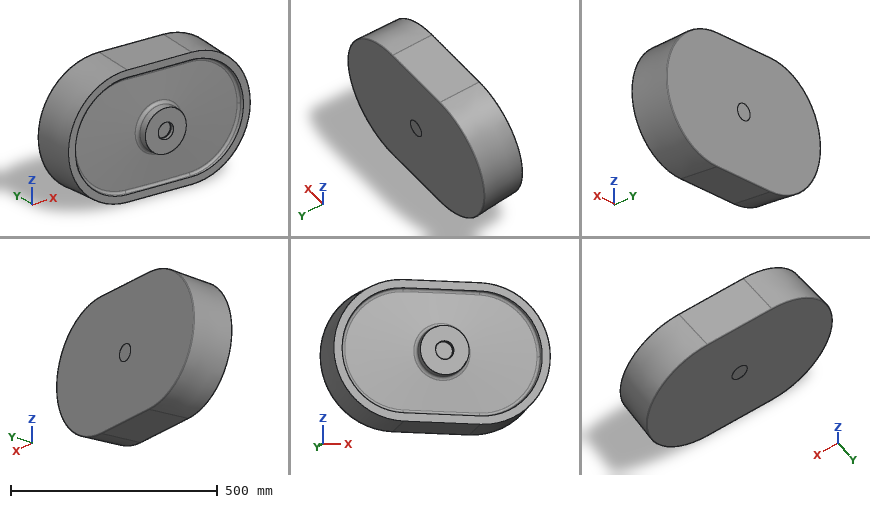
import cadquery as cq
import math

length = 550.0
height = 359.5
total_depth = 147.0
boss_length = 27.0
foot_inset = 6.0
rim_round = 1.5

foot_ring_width = 20.5
recess_draft = 18.0
recess_fillet = 7.0
floor_slope = 3.5
apex_recess_depth = -1.5

boss_tip_radius = 60.5
boss_draft = 3.0
boss_fillet = 9.0
bore_radius = 22.5

plug_setback = 10.5
dish_depth = 2.0
dish_rim_width = 0.5

straight_length = length - height
body_depth = total_depth - boss_length
foot_y = -body_depth
tip_y = -total_depth
body_taper = math.degrees(math.atan(foot_inset / body_depth))
recess_height = height - 2 * (foot_inset + foot_ring_width)


def plane_at(y):
    """XZ plane whose normal points toward -Y."""
    return cq.Workplane("XZ", origin=(0, y, 0))


def stadium(y, stadium_height):
    """Stadium outline whose end arcs keep their centres at every height."""
    return plane_at(y).slot2D(straight_length + stadium_height, stadium_height)


def make_recess():
    """Drafted stadium pocket whose bottom is a shallow cone rising to the boss."""
    cone_radius = length
    cone_rise = cone_radius * math.tan(math.radians(floor_slope))
    apex_y = foot_y + apex_recess_depth
    pocket_depth = body_depth / 2
    lead_in = boss_length / 4
    mouth_height = recess_height + 2 * lead_in * math.tan(math.radians(recess_draft))
    pocket = stadium(foot_y - lead_in, mouth_height).extrude(-pocket_depth, taper=recess_draft)
    below_floor = (
        cq.Workplane("XY")
        .moveTo(0, apex_y)
        .lineTo(cone_radius, apex_y + cone_rise)
        .lineTo(cone_radius, tip_y)
        .lineTo(0, tip_y)
        .close()
        .revolve(360, (0, 0, 0), (0, 1, 0))
    )
    recess = pocket.intersect(below_floor)
    return recess.faces(">Y").edges().fillet(recess_fillet)


def make_boss():
    """Drafted round boss, starting inside the body and ending at the -Y tip."""
    root_length = body_depth / 2
    return plane_at(tip_y).circle(boss_tip_radius).extrude(
        -(boss_length + root_length), taper=-boss_draft
    )


def make_basin():
    body = stadium(0, height).extrude(body_depth, taper=body_taper)
    body = body.faces(">Y").edges().fillet(rim_round)
    body = body.cut(make_recess()).union(make_boss())
    reach = boss_tip_radius + 2 * boss_fillet
    boss_root = cq.selectors.BoxSelector(
        (-reach, foot_y - boss_fillet, -reach),
        (reach, foot_y + boss_fillet, reach),
        boundingbox=True,
    )
    body = body.edges(boss_root).fillet(boss_fillet)
    bore = plane_at(0).circle(bore_radius).extrude(total_depth)
    return body.cut(bore)


def make_drain_plug():
    """Plug that fills the bore behind its setback from the boss tip."""
    plug_length = total_depth - plug_setback
    plug = plane_at(0).circle(bore_radius).extrude(plug_length)
    dish = plane_at(-plug_length).circle(bore_radius - dish_rim_width).extrude(-dish_depth)
    return plug.cut(dish)


basin = make_basin()
drain_plug = make_drain_plug()
result = cq.Compound.makeCompound([basin.val(), drain_plug.val()])